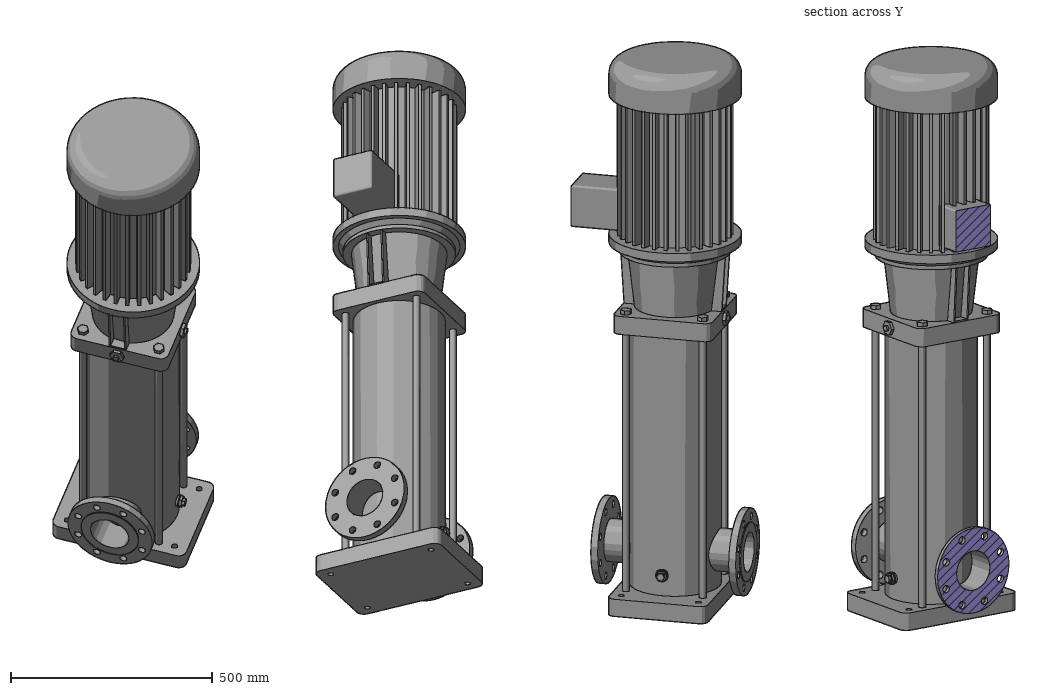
import cadquery as cq
import math


total_height = 1415.0
base_height = 45.0
head_bottom = 723.0
head_top = 770.0
lantern_top = 914.0
motor_flange_bottom = 936.0
motor_flange_top = 958.0
fan_cover_bottom = 1322.0

base_length = 348.0
base_width = 256.0
plate_corner_radius = 20.0
foot_hole_dia = 14.0
foot_hole_pitch_x = 280.0
foot_hole_pitch_y = 199.0

body_dia = 230.0
rod_dia = 18.0
rod_pitch = 198.0
rod_bolt_flats = 24.0
rod_bolt_height = 10.0

nozzle_height = 140.0
nozzle_face = 190.0
raised_face_height = 3.0
raised_face_dia = 150.0
flange_dia = 220.0
flange_thickness = 18.0
pipe_dia = 108.0
bore_dia = 100.0
bolt_hole_dia = 18.0
bolt_hole_count = 8
bolt_circle_dia = 180.0

head_width = 254.0
head_plug_flats = 32.0
head_plug_height = 8.0
vent_dia = 14.0
vent_height = 6.0
drain_height = 100.0
drain_neck_dia = 28.0
drain_neck_reach = 120.5
drain_collar_dia = 32.0
drain_collar_thickness = 2.0
drain_hex_flats = 26.0
drain_hex_reach = 129.0
drain_tip_flats = 18.0
drain_reach = 136.0

lantern_bottom_dia = 204.0
lantern_top_dia = 238.0
guard_thickness = 4.0
guard_offset = 20.0
guard_bottom_reach = 126.0
guard_top_reach = 135.0
spigot_dia = 280.0
spigot_height = 10.0
spigot_shoulder_dia = 302.0

motor_dia = 330.0
cover_fillet = 40.0
motor_core_dia = 240.0
fin_tip_dia = 288.0
fin_width = 8.0
fin_count = 30

box_size = 108.0
box_reach = 255.0
box_bottom = 968.0
box_edge_radius = 5.0


def disc(diameter, bottom, top):
    """Vertical cylinder on the pump axis between two levels."""
    return cq.Workplane("XY").workplane(offset=bottom).circle(diameter / 2).extrude(top - bottom)


def rod_along_x(diameter, start, end):
    """Cylinder on the X axis."""
    return cq.Workplane("YZ").workplane(offset=start).circle(diameter / 2).extrude(end - start)


def across_corners(flats):
    """Corner-to-corner size of a hexagon from its size across flats."""
    return flats / math.cos(math.pi / 6)


def hex_along_x(flats, start, end):
    """Hexagonal prism on the X axis, with two corners pointing along Y."""
    outline = cq.Workplane("YZ").workplane(offset=start).polygon(6, across_corners(flats))
    return outline.extrude(end - start)


def make_base():
    """Foot plate with rounded corners and four anchor holes."""
    base = cq.Workplane("XY").box(base_length, base_width, base_height, centered=(True, True, False))
    base = base.edges("|Z").fillet(plate_corner_radius)
    holes = cq.Workplane("XY").rect(foot_hole_pitch_x, foot_hole_pitch_y, forConstruction=True).vertices()
    return base.cut(holes.circle(foot_hole_dia / 2).extrude(base_height))


def make_head():
    """Square pump head with rounded corners."""
    head = cq.Workplane("XY").workplane(offset=head_bottom)
    head = head.box(head_width, head_width, head_top - head_bottom, centered=(True, True, False))
    return head.edges("|Z").fillet(plate_corner_radius)


def make_tie_rods():
    """Four rods between foot and head, each with a hexagon bolt head on top of the pump head."""
    corners = cq.Workplane("XY").workplane(offset=base_height)
    corners = corners.rect(rod_pitch, rod_pitch, forConstruction=True).vertices()
    rods = corners.circle(rod_dia / 2).extrude(head_bottom - base_height)
    bolts = cq.Workplane("XY").workplane(offset=head_top)
    bolts = bolts.rect(rod_pitch, rod_pitch, forConstruction=True).vertices()
    return rods, bolts.polygon(6, across_corners(rod_bolt_flats)).extrude(rod_bolt_height)


def nozzle_disc(diameter, start, end):
    """Cylinder on the nozzle axis between two Y positions."""
    plane = cq.Workplane("XZ", origin=(0, start, nozzle_height))
    return plane.circle(diameter / 2).extrude(start - end)


def make_nozzles():
    """Both flanged nozzles; only the -Y flange carries a raised sealing face.

    The bore runs through here, and the pump body later closes it at the body wall.
    """
    flange_face = nozzle_face - raised_face_height
    nozzles = nozzle_disc(pipe_dia, -flange_face, flange_face)
    for side in (-1, 1):
        flange = nozzle_disc(flange_dia, side * (flange_face - flange_thickness), side * flange_face)
        nozzles = nozzles.union(flange)
    nozzles = nozzles.union(nozzle_disc(raised_face_dia, -nozzle_face, -flange_face))
    nozzles = nozzles.cut(nozzle_disc(bore_dia, -nozzle_face, nozzle_face))
    bolt_holes = (
        cq.Workplane("XZ", origin=(0, nozzle_face, nozzle_height))
        .polarArray(bolt_circle_dia / 2, 180 / bolt_hole_count, 360, bolt_hole_count)
        .circle(bolt_hole_dia / 2)
        .extrude(2 * nozzle_face)
    )
    return nozzles.cut(bolt_holes)


def make_head_plug():
    """Hexagon plug with a vent stub on the +X face of the pump head."""
    face = head_width / 2
    plug_end = face + head_plug_height
    plug = hex_along_x(head_plug_flats, face, plug_end)
    plug = plug.union(rod_along_x(vent_dia, plug_end, plug_end + vent_height))
    return plug.translate((0, 0, (head_bottom + head_top) / 2))


def make_drain_plug():
    """Collared hexagon plug standing out of the +X side of the pump body."""
    collar_end = drain_neck_reach + drain_collar_thickness
    plug = rod_along_x(drain_neck_dia, body_dia / 2 - drain_collar_thickness, drain_neck_reach)
    plug = plug.union(rod_along_x(drain_collar_dia, drain_neck_reach, collar_end))
    plug = plug.union(hex_along_x(drain_hex_flats, collar_end, drain_hex_reach))
    plug = plug.union(hex_along_x(drain_tip_flats, drain_hex_reach, drain_reach))
    return plug.translate((0, 0, drain_height))


def make_lantern():
    """Conical motor lantern with a turned spigot that flares out to the motor flange."""
    spigot_top = lantern_top + spigot_height
    profile = [
        (0, head_top),
        (lantern_bottom_dia / 2, head_top),
        (lantern_top_dia / 2, lantern_top),
        (spigot_dia / 2, lantern_top),
        (spigot_dia / 2, spigot_top),
        (spigot_shoulder_dia / 2, motor_flange_bottom),
        (0, motor_flange_bottom),
    ]
    return cq.Workplane("XZ").polyline(profile).close().revolve(360, (0, 0, 0), (0, 1, 0))


def make_guards():
    """Two thin coupling guard plates across the lantern, joined by a web on the pump head."""
    outline = [
        (-guard_bottom_reach, head_top),
        (guard_bottom_reach, head_top),
        (guard_top_reach, lantern_top),
        (-guard_top_reach, lantern_top),
    ]
    plate = cq.Workplane("YZ").polyline(outline).close().extrude(guard_thickness / 2, both=True)
    web = cq.Workplane("XY").workplane(offset=head_top)
    guards = web.rect(2 * guard_offset, 2 * guard_bottom_reach).extrude(guard_thickness)
    for side in (-1, 1):
        guards = guards.union(plate.translate((side * guard_offset, 0, 0)))
    return guards


def make_motor():
    """Motor flange, finned stator housing and domed fan cover."""
    motor = disc(motor_dia, motor_flange_bottom, motor_flange_top)
    motor = motor.union(disc(motor_core_dia, motor_flange_top, fan_cover_bottom))
    fin_start = motor_core_dia / 2 - fin_width
    fin_depth = fin_tip_dia / 2 - fin_start
    fins = (
        cq.Workplane("XY")
        .workplane(offset=motor_flange_top)
        .polarArray(fin_start + fin_depth / 2, 90, 360, fin_count)
        .rect(fin_depth, fin_width)
        .extrude(fan_cover_bottom - motor_flange_top)
    )
    cover = disc(motor_dia, fan_cover_bottom, total_height).faces(">Z").edges().fillet(cover_fillet)
    return motor.union(fins).union(cover)


def make_terminal_box():
    """Rounded box on the +Y side that fits around the motor core."""
    box = cq.Workplane("XY").box(box_size, box_reach, box_size, centered=(True, False, False))
    box = box.edges("|Y or >Y").fillet(box_edge_radius)
    core = disc(motor_core_dia, 0, box_size)
    return box.cut(core).translate((0, 0, box_bottom))


body = disc(body_dia, base_height, head_bottom)
rods, rod_bolts = make_tie_rods()

result = make_base().union(make_nozzles())
for section in (body, make_head(), rods, rod_bolts):
    result = result.union(section)
for turn in (-90, 0):
    result = result.union(make_head_plug().rotate((0, 0, 0), (0, 0, 1), turn))
for turn in (0, 180):
    result = result.union(make_drain_plug().rotate((0, 0, 0), (0, 0, 1), turn))
for section in (make_lantern(), make_guards(), make_motor(), make_terminal_box()):
    result = result.union(section)